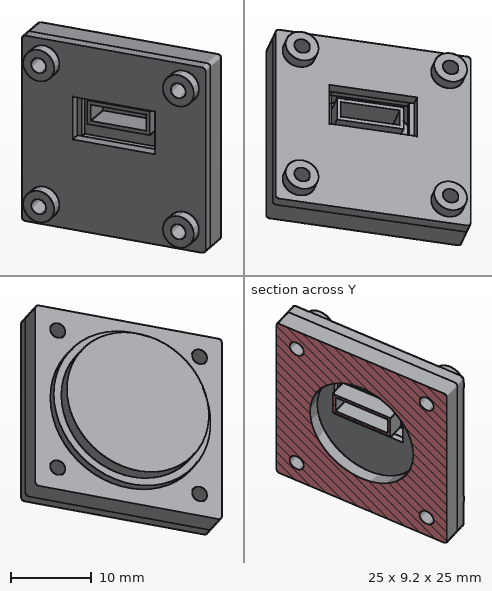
import cadquery as cq

side = 25.0
corner_radius = 0.5

boss_length = 1.55
plate_thickness = 1.45
case_depth = 3.2
flange_thickness = 1.15
disc_thickness = 1.85

boss_diameter = 4.2
screw_hole_diameter = 2.0
screw_spacing = 19.0

flange_diameter = 21.0
disc_diameter = 19.0

window_height = 5.75
window_center_z = 2.52
plate_window_width = 11.2
case_window_width = 10.0

case_wall = 0.8
cavity_diameter = 15.0
cavity_end = 4.0

shell_width = 8.5
shell_height = 3.2
shell_center_z = 3.0
socket_width = 7.55
socket_height = 2.18
shell_floor = 0.4
shell_length = cavity_end

plate_front = boss_length
case_front = plate_front + plate_thickness
case_back = case_front + case_depth
flange_back = case_back + flange_thickness

screw_points = [(x * screw_spacing / 2, z * screw_spacing / 2) for x in (-1, 1) for z in (-1, 1)]


def front_plane(y):
    """Sketch plane at the given Y; local axes are X and Z, and extrusions run toward -Y."""
    return cq.Workplane("XZ", origin=(0, y, 0))


def rounded_slab(y, depth):
    """Square slab with rounded corners, running back from y."""
    return front_plane(y).rect(side, side).extrude(-depth).edges("|Y").fillet(corner_radius)


def block(y, depth, width, height, center_z):
    """Rectangular block, centered in X, running back from y."""
    return front_plane(y).center(0, center_z).rect(width, height).extrude(-depth)


def cylinders(y, depth, diameter, points):
    """Cylinders along Y at the given X, Z points, running back from y."""
    return front_plane(y).pushPoints(points).circle(diameter / 2).extrude(-depth)


def make_plate():
    """Cover plate with a window and four drilled bosses."""
    plate = rounded_slab(plate_front, plate_thickness)
    plate = plate.union(cylinders(0, case_front, boss_diameter, screw_points))
    plate = plate.cut(cylinders(0, case_front, screw_hole_diameter, screw_points))
    return plate.cut(block(plate_front, plate_thickness, plate_window_width, window_height, window_center_z))


def make_case():
    """Case with a stepped round back, screw holes, a window and a round cavity."""
    center = [(0, 0)]
    case = rounded_slab(case_front, case_depth)
    case = case.union(cylinders(case_back, flange_thickness, flange_diameter, center))
    case = case.union(cylinders(flange_back, disc_thickness, disc_diameter, center))
    case = case.cut(cylinders(case_front, case_depth, screw_hole_diameter, screw_points))
    case = case.cut(block(case_front, case_wall, case_window_width, window_height, window_center_z))
    cavity_depth = cavity_end - case_wall
    return case.cut(cylinders(case_front + case_wall, cavity_depth, cavity_diameter, center))


def make_connector():
    """Rectangular connector shell, open at the front and closed at the back."""
    shell = block(case_front, shell_length, shell_width, shell_height, shell_center_z)
    socket_depth = shell_length - shell_floor
    return shell.cut(block(case_front, socket_depth, socket_width, socket_height, shell_center_z))


plate = make_plate()
case = make_case()
connector = make_connector()

result = cq.Compound.makeCompound([plate.val(), case.val(), connector.val()])